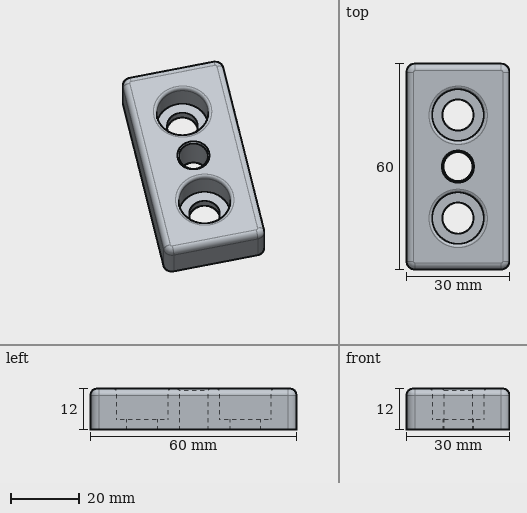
import cadquery as cq

WIDTH = 30.0
LENGTH = 60.0
HEIGHT = 12.0
CORNER_RADIUS = 2.5
TOP_EDGE_RADIUS = 2.0

BOLT_SPACING = LENGTH / 2
BOLT_HOLE_DIAMETER = 9.0
COUNTERBORE_DIAMETER = 15.0
COUNTERBORE_DEPTH = 9.0
COUNTERBORE_RIM_RADIUS = 1.0

CENTRE_HOLE_DIAMETER = 8.4
CENTRE_HOLE_CHAMFER = 0.5


def make_block():
    """Block standing on Z = 0 with rounded upright and top edges."""
    block = cq.Workplane("XY").box(WIDTH, LENGTH, HEIGHT, centered=(True, True, False))
    block = block.edges("|Z").fillet(CORNER_RADIUS)
    return block.faces(">Z").edges().fillet(TOP_EDGE_RADIUS)


def make_bolt_hole_cutter(y):
    """Through hole, counterbore and rounded rim, revolved about the hole axis."""
    hole_radius = BOLT_HOLE_DIAMETER / 2
    bore_radius = COUNTERBORE_DIAMETER / 2
    rim_radius = bore_radius + COUNTERBORE_RIM_RADIUS
    floor_z = HEIGHT - COUNTERBORE_DEPTH
    profile = (
        cq.Workplane("XZ")
        .lineTo(hole_radius, 0)
        .lineTo(hole_radius, floor_z)
        .lineTo(bore_radius, floor_z)
        .lineTo(bore_radius, HEIGHT - COUNTERBORE_RIM_RADIUS)
        .radiusArc((rim_radius, HEIGHT), COUNTERBORE_RIM_RADIUS)
        .lineTo(0, HEIGHT)
        .close()
    )
    return profile.revolve(360, (0, 0, 0), (0, 1, 0)).translate((0, y, 0))


def make_centre_hole_cutter():
    """Through hole with a chamfered mouth, revolved about the hole axis."""
    hole_radius = CENTRE_HOLE_DIAMETER / 2
    profile = (
        cq.Workplane("XZ")
        .lineTo(hole_radius, 0)
        .lineTo(hole_radius, HEIGHT - CENTRE_HOLE_CHAMFER)
        .lineTo(hole_radius + CENTRE_HOLE_CHAMFER, HEIGHT)
        .lineTo(0, HEIGHT)
        .close()
    )
    return profile.revolve(360, (0, 0, 0), (0, 1, 0))


result = make_block()
for side in (-1, 1):
    result = result.cut(make_bolt_hole_cutter(side * BOLT_SPACING / 2))
result = result.cut(make_centre_hole_cutter())